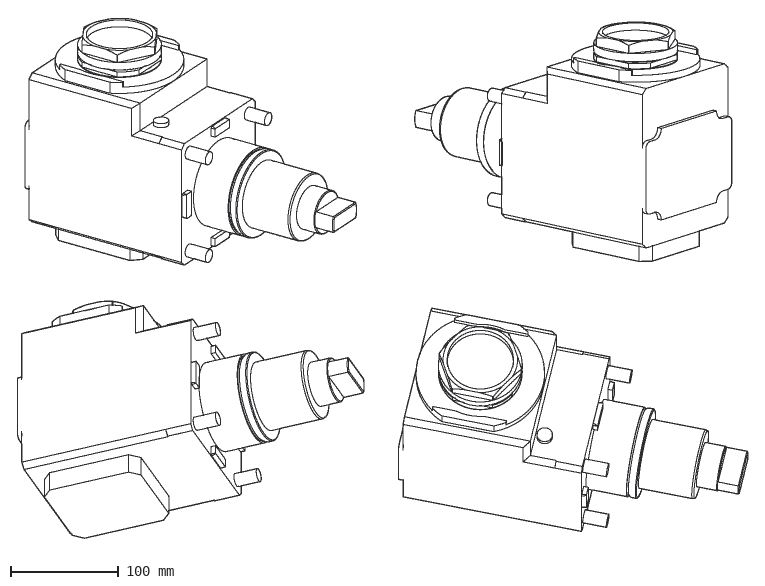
import cadquery as cq
import math


OVERALL_LENGTH = 314.0
EMBED = 3.0

BLOCK_LENGTH = 169.2
BLOCK_WIDTH = 125.0
HALF_WIDTH = BLOCK_WIDTH / 2
BLOCK_BOTTOM = -62.5
STEP_Z = 62.5
BLOCK_TOP = 90.7
STEP_X = -49.5
CHAMFER_DEPTH = 5.5
CHAMFER_HEIGHT = 4.7
FLANGE_THICKNESS = 25.0
FLANGE_CHAMFER = 4.7

COVER_THICKNESS = 4.5
COVER_CENTER_Z = 5.5
COVER_HALF_HEIGHT = 44.0
COVER_TOP_HALF_WIDTH = 40.2
COVER_SCALLOP = 9.0
COVER_CORNER_RADIUS = 5.5

SPINDLE_X = -109.5
FOOT_LENGTH = 96.7
FOOT_WIDTH = 86.0
FOOT_HEIGHT = 19.5
FOOT_CHAMFER = 8.8
DISC_RADIUS = 59.7
DISC_HALF_WIDTH = 54.3
DISC_HEIGHT = 6.5
LIP_HEIGHT = 11.3
LIP_INNER_Y = 46.5
LIP_LENGTH = 69.7
LIP_RELIEF_RADIUS = 48.5
PAD_RADIUS = 39.0
PAD_HEIGHT = 0.5

PLUG_X = -40.8
PLUG_Y = -35.0
PLUG_RADIUS = 7.2
PLUG_HEIGHT = 4.0

PIN_OFFSET = 50.2
PIN_RADIUS = 6.3
PIN_LENGTH = 22.3
KEY_WIDTH = 24.8
KEY_DEPTH = 9.5
KEY_LENGTH = 4.5
KEY_OUTER = 61.5
KEY_CHAMFER = 1.3
KEY_TAPER_LENGTH = 3.0
KEY_TAPER_DROP = 1.0

SHANK_RADIUS = 42.5
GROOVE_RADIUS = 40.8
JOURNAL_RADIUS = 32.5
NECK_RADIUS = 21.0
GROOVE_START = 38.3
GROOVE_END = 40.0
COLLAR_START = 43.0
COLLAR_END = 47.7
JOURNAL_END = 100.2
NECK_END = 120.3
TANG_END = OVERALL_LENGTH - BLOCK_LENGTH - COVER_THICKNESS
SHANK_CHAMFER = 1.0
JOURNAL_CHAMFER_LENGTH = 2.0
JOURNAL_CHAMFER_DEPTH = 0.5

TANG_RADIUS = 20.5
TANG_THICKNESS = 16.3
TANG_CHAMFER = 1.0

NOSE_BASE = BLOCK_TOP + DISC_HEIGHT + PAD_HEIGHT
HUB_FLATS = 67.8
HUB_RADIUS = PAD_RADIUS
HUB_TOP = 103.0
NECK_BELOW_NUT_RADIUS = 34.2
RING_BOTTOM = 105.0
RING_RADIUS = PAD_RADIUS
HEX_BOTTOM = 112.7
NUT_TOP = 123.0
HEX_FLATS = HUB_FLATS
HEX_CHAMFER_RADIUS = 34.5
HEX_CHAMFER_SLOPE = 0.6
BORE_RADIUS = 30.8
BORE_DEPTH = 7.0


def cylinder_z(x, y, z_bottom, z_top, radius):
    return cq.Workplane("XY", (x, y, z_bottom)).circle(radius).extrude(z_top - z_bottom)


def block_outline(y, inset_x, inset_z):
    """Stepped side outline at a given Y, drawn in from the chamfered edges."""
    top = BLOCK_TOP - inset_z
    step = STEP_Z - inset_z
    wall = STEP_X - inset_x
    bottom = BLOCK_BOTTOM + inset_z
    points = [(-BLOCK_LENGTH, bottom), (-BLOCK_LENGTH, top), (wall, top),
              (wall, step), (-FLANGE_THICKNESS, step), (-FLANGE_THICKNESS, bottom)]
    return cq.Wire.makePolygon([cq.Vector(x, y, z) for x, z in points], close=True)


def make_block():
    """Stepped block: a straight middle and a tapered, mitred skin on each side."""
    shoulder = HALF_WIDTH - CHAMFER_DEPTH
    middle = cq.Solid.extrudeLinear(
        block_outline(-shoulder, 0, 0), [], cq.Vector(0, 2 * shoulder, 0))
    block = cq.Workplane(middle)
    for side in (-1, 1):
        inner = block_outline(side * shoulder, 0, 0)
        outer = block_outline(side * HALF_WIDTH, CHAMFER_DEPTH, CHAMFER_HEIGHT)
        block = block.union(cq.Workplane(cq.Solid.makeLoft([inner, outer], True)))
    return block


def make_flange():
    height = STEP_Z - BLOCK_BOTTOM
    flange = cq.Workplane("XY", (-FLANGE_THICKNESS / 2, 0, BLOCK_BOTTOM + height / 2))
    return flange.box(FLANGE_THICKNESS, BLOCK_WIDTH, height).edges("|X").chamfer(FLANGE_CHAMFER)


def make_cover():
    """Plate with a scalloped notch and a rounded corner at each of its four corners."""
    shoulder_z = COVER_HALF_HEIGHT - COVER_SCALLOP
    scallop_mid = COVER_SCALLOP * math.sqrt(0.5)
    scallop_y = COVER_TOP_HALF_WIDTH + COVER_SCALLOP
    half = (
        cq.Workplane("YZ", (-BLOCK_LENGTH - COVER_THICKNESS, 0, COVER_CENTER_Z))
        .moveTo(0, COVER_HALF_HEIGHT)
        .lineTo(COVER_TOP_HALF_WIDTH, COVER_HALF_HEIGHT)
        .threePointArc((scallop_y - scallop_mid, COVER_HALF_HEIGHT - scallop_mid),
                       (scallop_y, shoulder_z))
        .lineTo(HALF_WIDTH - COVER_CORNER_RADIUS, shoulder_z)
        .radiusArc((HALF_WIDTH, shoulder_z - COVER_CORNER_RADIUS), COVER_CORNER_RADIUS)
        .lineTo(HALF_WIDTH, 0)
        .lineTo(0, 0)
        .close()
        .extrude(COVER_THICKNESS + EMBED)
    )
    upper = half.union(half.mirror("XZ"))
    return upper.union(upper.mirror("XY", (0, 0, COVER_CENTER_Z)))


def make_foot():
    base = cq.Workplane("XY", (SPINDLE_X, 0, BLOCK_BOTTOM - FOOT_HEIGHT))
    foot = base.rect(FOOT_LENGTH, FOOT_WIDTH).extrude(FOOT_HEIGHT + EMBED)
    return foot.edges("|Z").chamfer(FOOT_CHAMFER)


def flat_sided_disc(height):
    """Disc cut flat on both Y sides, standing on the block and sunk into it a little."""
    base = cq.Workplane("XY", (SPINDLE_X, 0, BLOCK_TOP - EMBED))
    disc = base.circle(DISC_RADIUS).extrude(height + EMBED)
    return disc.intersect(base.rect(2 * DISC_RADIUS, 2 * DISC_HALF_WIDTH).extrude(height + EMBED))


def make_disc():
    """Flat-sided disc with a raised lip along each flat and a low round pad in the middle."""
    base = cq.Workplane("XY", (SPINDLE_X, 0, BLOCK_TOP))
    lip_band = base.rect(LIP_LENGTH, 2 * DISC_HALF_WIDTH).extrude(LIP_HEIGHT)
    between_lips = base.rect(LIP_LENGTH, 2 * LIP_INNER_Y).extrude(LIP_HEIGHT)
    relief = base.circle(LIP_RELIEF_RADIUS).extrude(LIP_HEIGHT)
    lips = flat_sided_disc(LIP_HEIGHT).intersect(lip_band).cut(between_lips).cut(relief)
    pad = base.circle(PAD_RADIUS).extrude(DISC_HEIGHT + PAD_HEIGHT)
    return flat_sided_disc(DISC_HEIGHT).union(lips).union(pad)


def make_plug():
    return cylinder_z(PLUG_X, PLUG_Y, STEP_Z - EMBED, STEP_Z + PLUG_HEIGHT, PLUG_RADIUS)


def make_pins():
    return (
        cq.Workplane("YZ", (-EMBED, 0, 0))
        .rect(2 * PIN_OFFSET, 2 * PIN_OFFSET, forConstruction=True)
        .vertices()
        .circle(PIN_RADIUS)
        .extrude(PIN_LENGTH + EMBED)
    )


def make_key(angle):
    """Key at the middle of one edge of the mounting face, turned about X by the angle.

    Its outer side is chamfered lengthwise and tapers towards the free end.
    """
    bar = (
        cq.Workplane("YZ", (-EMBED, 0, KEY_OUTER - KEY_DEPTH / 2))
        .rect(KEY_WIDTH, KEY_DEPTH)
        .extrude(KEY_LENGTH + EMBED)
        .edges("|X and >Z")
        .chamfer(KEY_CHAMFER)
    )
    taper = (
        cq.Workplane("XZ")
        .moveTo(KEY_LENGTH - KEY_TAPER_LENGTH, KEY_OUTER)
        .lineTo(KEY_LENGTH, KEY_OUTER)
        .lineTo(KEY_LENGTH, KEY_OUTER - KEY_TAPER_DROP)
        .close()
        .extrude(KEY_WIDTH / 2, both=True)
    )
    return bar.cut(taper).rotate((0, 0, 0), (1, 0, 0), angle)


def make_shank():
    """Turned shank with a groove, a collar, a journal and a neck.

    The groove's far wall is a round that runs smoothly into the collar.
    """
    round_length = COLLAR_START - GROOVE_END
    round_rise = SHANK_RADIUS - GROOVE_RADIUS
    round_radius = (round_length**2 + round_rise**2) / (2 * round_rise)
    return (
        cq.Workplane("XY")
        .moveTo(-EMBED, 0)
        .lineTo(-EMBED, SHANK_RADIUS)
        .lineTo(GROOVE_START, SHANK_RADIUS)
        .lineTo(GROOVE_START, GROOVE_RADIUS)
        .lineTo(GROOVE_END, GROOVE_RADIUS)
        .radiusArc((COLLAR_START, SHANK_RADIUS), round_radius)
        .lineTo(COLLAR_END - SHANK_CHAMFER, SHANK_RADIUS)
        .lineTo(COLLAR_END, SHANK_RADIUS - SHANK_CHAMFER)
        .lineTo(COLLAR_END, JOURNAL_RADIUS)
        .lineTo(JOURNAL_END - JOURNAL_CHAMFER_LENGTH, JOURNAL_RADIUS)
        .lineTo(JOURNAL_END, JOURNAL_RADIUS - JOURNAL_CHAMFER_DEPTH)
        .lineTo(JOURNAL_END, NECK_RADIUS)
        .lineTo(NECK_END - SHANK_CHAMFER, NECK_RADIUS)
        .lineTo(NECK_END, NECK_RADIUS - SHANK_CHAMFER)
        .lineTo(NECK_END, 0)
        .close()
        .revolve(360, (0, 0, 0), (1, 0, 0))
    )


def make_tang():
    """Flat driving tang milled from a round end."""
    length = TANG_END - NECK_END + EMBED
    start = cq.Workplane("YZ", (NECK_END - EMBED, 0, 0))
    round_end = start.circle(TANG_RADIUS).extrude(length)
    tang = round_end.intersect(start.rect(2 * TANG_RADIUS, TANG_THICKNESS).extrude(length))
    return tang.faces(">X").chamfer(TANG_CHAMFER)


def make_housing():
    housing = make_block()
    features = [make_flange(), make_cover(), make_foot(), make_disc(), make_plug(),
                make_pins(), make_shank(), make_tang()]
    for feature in features:
        housing = housing.union(feature)
    for angle in range(0, 360, 90):
        housing = housing.union(make_key(angle))
    return housing


def make_hub():
    """Round hub with four spanner flats, and the round neck above it."""
    hub = cylinder_z(SPINDLE_X, 0, NOSE_BASE, HUB_TOP, HUB_RADIUS)
    flats = (
        cq.Workplane("XY", (SPINDLE_X, 0, NOSE_BASE))
        .rect(HUB_FLATS, HUB_FLATS)
        .extrude(HUB_TOP - NOSE_BASE)
    )
    neck = cylinder_z(SPINDLE_X, 0, NOSE_BASE, RING_BOTTOM + EMBED, NECK_BELOW_NUT_RADIUS)
    return hub.intersect(flats).union(neck)


def make_hexagon():
    """Hexagon with corners along X, turned to the ring's radius and conical at the top."""
    corner_radius = HEX_FLATS / math.sqrt(3)
    height = NUT_TOP - HEX_BOTTOM
    hexagon = (
        cq.Workplane("XY", (SPINDLE_X, 0, HEX_BOTTOM))
        .polygon(6, 2 * corner_radius)
        .extrude(height)
    )
    cone_drop = (RING_RADIUS - HEX_CHAMFER_RADIUS) * HEX_CHAMFER_SLOPE
    envelope = (
        cq.Workplane("XZ")
        .moveTo(0, HEX_BOTTOM)
        .lineTo(RING_RADIUS, HEX_BOTTOM)
        .lineTo(RING_RADIUS, NUT_TOP - cone_drop)
        .lineTo(HEX_CHAMFER_RADIUS, NUT_TOP)
        .lineTo(0, NUT_TOP)
        .close()
        .revolve(360, (0, 0, 0), (0, 1, 0))
        .translate((SPINDLE_X, 0, 0))
    )
    return hexagon.intersect(envelope)


def make_spindle_nose():
    ring = cylinder_z(SPINDLE_X, 0, RING_BOTTOM, HEX_BOTTOM, RING_RADIUS)
    bore = cylinder_z(SPINDLE_X, 0, NUT_TOP - BORE_DEPTH, NUT_TOP, BORE_RADIUS)
    return make_hub().union(ring).union(make_hexagon()).cut(bore)


housing = make_housing()
spindle_nose = make_spindle_nose()
result = cq.Compound.makeCompound([housing.val(), spindle_nose.val()])